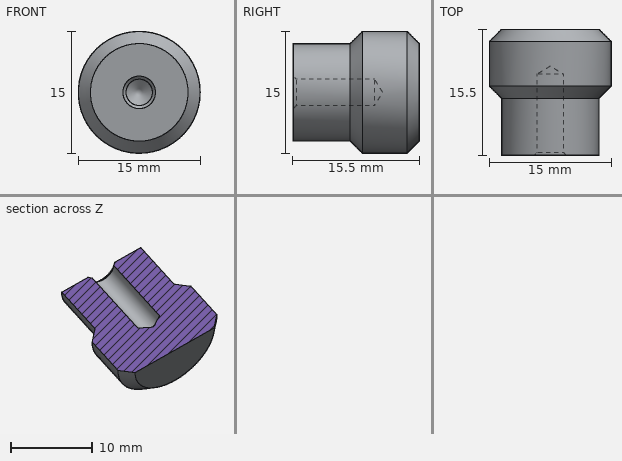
import cadquery as cq
import math

total_length = 15.5
head_diameter = 15.0
neck_diameter = 12.0
neck_length = 7.0

hole_diameter = 3.24
hole_mouth_diameter = 4.0
hole_depth = 10.0
drill_point_angle = 118.0

head_radius = head_diameter / 2
neck_radius = neck_diameter / 2
hole_radius = hole_diameter / 2
mouth_radius = hole_mouth_diameter / 2

head_chamfer = head_radius - neck_radius
mouth_chamfer = mouth_radius - hole_radius
drill_tip_length = hole_radius / math.tan(math.radians(drill_point_angle / 2))


def revolve_about_y(points):
    """Turn a closed (radius, y) outline about the Y axis."""
    outline = cq.Workplane("XY").polyline(points).close()
    return outline.revolve(360, (0, 0, 0), (0, 1, 0))


body = revolve_about_y([
    (0, 0),
    (neck_radius, 0),
    (neck_radius, neck_length),
    (head_radius, neck_length + head_chamfer),
    (head_radius, total_length - head_chamfer),
    (neck_radius, total_length),
    (0, total_length),
])

hole = revolve_about_y([
    (0, 0),
    (mouth_radius, 0),
    (hole_radius, mouth_chamfer),
    (hole_radius, hole_depth),
    (0, hole_depth + drill_tip_length),
])

result = body.cut(hole)